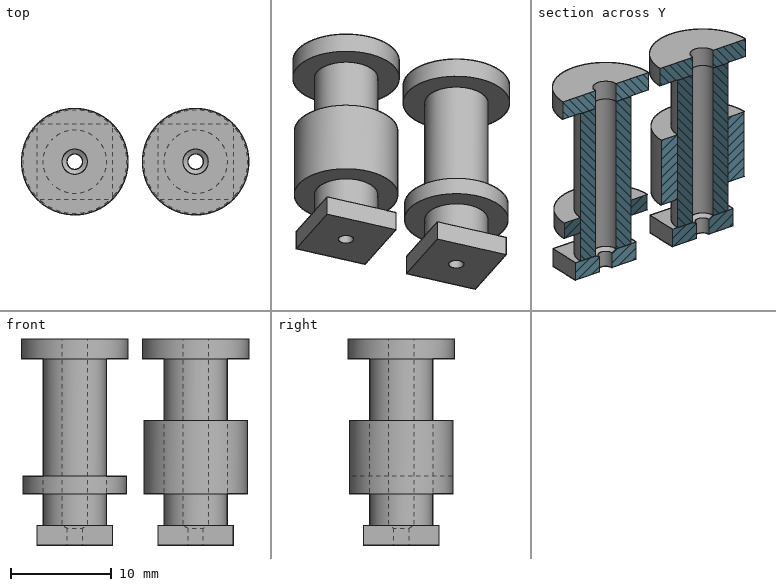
import cadquery as cq

cap_diameter = 10.6
cap_thickness = 2.0
post_diameter = 6.3
collar_diameter = 10.3
short_collar_height = 1.76
tall_collar_height = 7.3
base_side = 7.5
base_thickness = 2.0
collar_gap = 3.12
overall_length = 22.6
overall_height = 20.5
bore_diameter = 2.5
base_hole_diameter = 1.51
countersink_angle = 118

post_spacing = overall_length - cap_diameter
post_length = overall_height - cap_thickness - base_thickness
cap_bottom = overall_height - cap_thickness
collar_bottom = base_thickness + collar_gap


def ring(outer_diameter, inner_diameter, height, x, bottom):
    """Upright ring centred at x, standing on the given height."""
    return (
        cq.Workplane("XY", origin=(x, 0, bottom))
        .circle(outer_diameter / 2)
        .circle(inner_diameter / 2)
        .extrude(height)
    )


def make_base(x):
    """Square foot with a hole countersunk to the full width of the post bore."""
    return (
        cq.Workplane("XY", origin=(x, 0, 0))
        .rect(base_side, base_side)
        .extrude(base_thickness)
        .faces(">Z")
        .workplane()
        .cskHole(base_hole_diameter, bore_diameter, countersink_angle)
    )


def make_post(x):
    """Tubular post between the base and the cap."""
    return ring(post_diameter, bore_diameter, post_length, x, base_thickness)


def make_collar(x, height):
    """Collar fitted around the post."""
    return ring(collar_diameter, post_diameter, height, x, collar_bottom)


def make_cap(x):
    """Round cap on top of the post, bored in line with it."""
    return ring(cap_diameter, bore_diameter, cap_thickness, x, cap_bottom)


bodies = []
for side, collar_height in ((-1, short_collar_height), (1, tall_collar_height)):
    post_x = side * post_spacing / 2
    bodies.append(make_base(post_x).val())
    bodies.append(make_post(post_x).val())
    bodies.append(make_collar(post_x, collar_height).val())
    bodies.append(make_cap(post_x).val())

result = cq.Compound.makeCompound(bodies)